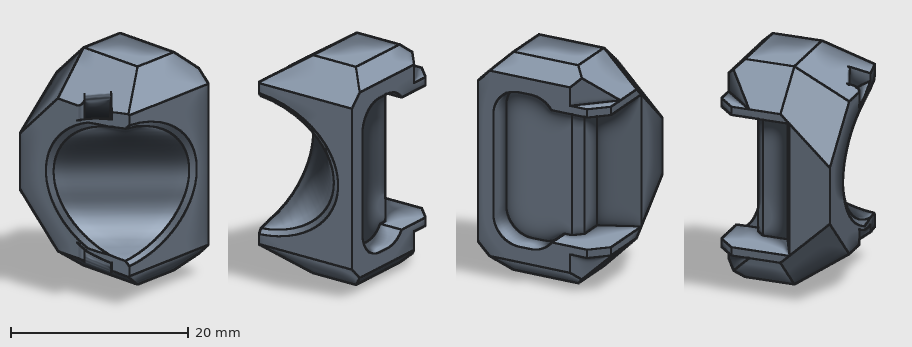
import cadquery as cq
import math

width = 16.1
depth = 14.0
height = 26.6
half_height = height / 2
left_corner = 4.23
right_corner = 3.48
taper_depth = 6.0
taper_inset = 4.0
back_chamfer = 2.0
back_left_cut = 4.18
slant_start = 10.53
slant_depth = 0.95
big = 2 * height

axis_x = 16.0
bore_radius = 8.1
bore_chamfer = 0.5
groove_inner_radius = 9.0
groove_outer_radius = 11.17
groove_start = -4.18
groove_end = -1.2
lip_radius = 0.5

plate_top = half_height - left_corner
plate_thickness = 1.0
channel_half_height = plate_top - plate_thickness
channel_front = 4.9
channel_wall_back = 7.0
channel_floor_x = 4.58
pocket_depth = 3.0
floor_chamfer = 1.0
pocket_left = 5.93
pocket_right = 14.1
pocket_half_height = 9.42
pocket_corner_radius = 3.32


def along_y(points, start, length):
    """Extrude an XZ outline towards +Y."""
    plane = cq.Workplane("XZ", origin=(0, start, 0))
    return plane.polyline(points).close().extrude(-length)


def along_z(points, bottom, length):
    """Extrude an XY outline towards +Z."""
    return cq.Workplane("XY").workplane(offset=bottom).polyline(points).close().extrude(length)


def both_sides(solid):
    """Join a solid with its mirror image below the symmetry plane."""
    return solid.union(solid.mirror("XY"))


def edge_wedge(face_distance, y_edge, y_start, inset, tilt):
    """Wedge that bevels a face at face_distance from the origin, turned about Y by tilt."""
    points = [
        (y_start, face_distance),
        (y_edge, face_distance - inset),
        (y_edge, face_distance + big),
        (y_start, face_distance + big),
    ]
    wedge = cq.Workplane("YZ").polyline(points).close().extrude(big, both=True)
    return wedge.rotate((0, 0, 0), (0, 1, 0), tilt)


def axis_cylinder(radius, start, end):
    """Cylinder on the bore axis."""
    plane = cq.Plane(origin=(axis_x, 0, 0), xDir=(0, 0, 1), normal=(1, 1, 0))
    return cq.Workplane(plane).workplane(offset=start).circle(radius).extrude(end - start)


def make_block():
    right_z = half_height - right_corner
    upper = [
        (0, plate_top),
        (left_corner, half_height),
        (width - right_corner, half_height),
        (width, right_z),
    ]
    lower = [(x, -z) for x, z in reversed(upper)]
    return along_y(upper + lower, 0, depth)


def bevel_block(block):
    diagonal_distance = plate_top / math.sqrt(2)
    wedges = [
        edge_wedge(half_height, 0, taper_depth, taper_inset, 0),
        edge_wedge(diagonal_distance, 0, taper_depth, taper_inset, -45),
        edge_wedge(half_height, depth, depth - back_chamfer, back_chamfer, 0),
    ]
    for wedge in wedges:
        block = block.cut(both_sides(wedge))
    return block


def back_corner(cut, bottom, length):
    """Triangular prism at the back left vertical edge."""
    return along_z([(0, depth), (cut, depth), (0, depth - cut)], bottom, length)


def cut_bore(block):
    block = block.cut(axis_cylinder(bore_radius, -big, big))
    front_edge = cq.selectors.BoxSelector((0, -0.03, -big), (width - 0.03, 0.03, big))
    right_edge = cq.selectors.BoxSelector((width - 0.03, 0.03, -big), (width + 0.03, depth, big))
    for selector in (front_edge, right_edge):
        block = block.edges("%ELLIPSE").edges(selector).chamfer(bore_chamfer)
    return block


def cut_slant(block):
    points = [(slant_start, 0), (width, slant_depth), (width, -big), (slant_start, -big)]
    return block.cut(along_z(points, -half_height, height))


def cut_groove(block):
    outer = axis_cylinder(groove_outer_radius, groove_start, groove_end)
    inner = axis_cylinder(groove_inner_radius, groove_start, groove_end)
    return block.cut(outer.cut(inner))


def round_groove_lips(block):
    """Round the acute front edges of both groove openings."""
    front_lip_x = axis_x + groove_start * math.sqrt(2)
    tolerance = 0.013
    front_lip = cq.selectors.BoxSelector(
        (front_lip_x - tolerance, -tolerance, -half_height),
        (front_lip_x + tolerance, tolerance, half_height),
    )
    for side in (-1, 1):
        outer_lip = cq.selectors.NearestToPointSelector(
            (axis_x + groove_start, taper_depth / 4, side * groove_outer_radius)
        )
        block = block.edges("%ELLIPSE").edges(outer_lip).fillet(lip_radius)
    return block.edges("|Z").edges(front_lip).fillet(lip_radius)


def cut_channel(block):
    floor_y = depth - pocket_depth
    points = [
        (0, channel_front),
        (channel_floor_x, channel_wall_back),
        (channel_floor_x, floor_y - floor_chamfer),
        (channel_floor_x + floor_chamfer, floor_y),
        (pocket_left + pocket_corner_radius, floor_y),
        (pocket_left + pocket_corner_radius, depth),
        (0, depth),
    ]
    return block.cut(along_z(points, -channel_half_height, 2 * channel_half_height))


def cut_pocket(block):
    pocket = (
        cq.Workplane("XY")
        .box(pocket_right - pocket_left, pocket_depth, 2 * pocket_half_height)
        .edges("|Y")
        .fillet(pocket_corner_radius)
        .translate(((pocket_left + pocket_right) / 2, depth - pocket_depth / 2, 0))
    )
    return block.cut(pocket)


result = bevel_block(make_block())
result = result.cut(both_sides(back_corner(back_left_cut, plate_top, big)))
result = result.cut(back_corner(back_chamfer, -half_height, height))
result = cut_bore(result)
result = cut_slant(result)
result = cut_groove(result)
result = round_groove_lips(result)
result = cut_channel(result)
result = cut_pocket(result)